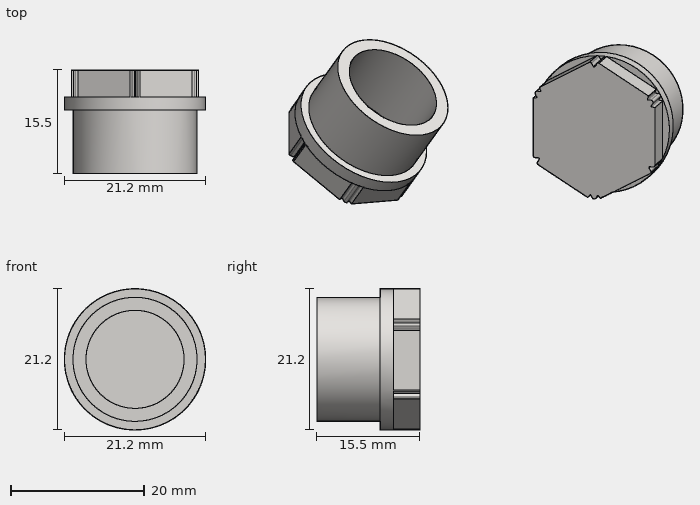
import cadquery as cq
import math

flange_radius = 10.6
tube_radius = 9.3
bore_radius = 7.35
tube_length = 9.5
flange_length = 2.0
head_length = 4.0
head_apothem = 9.55
bore_depth = tube_length + flange_length

corner_count = 6
corner_radius = head_apothem / math.cos(math.pi / corner_count)
corner_step = 360 / corner_count

flat_end_half = 1.0
valley_outer_half = 0.65
valley_inner_half = 0.53
valley_radius = 10.03
valley_sag = 0.032
tip_half = 0.28
tip_side_radius = 10.47
groove_floor_half = 0.1
groove_floor_radius = 9.99
groove_floor_sag = 0.05
groove_wall_half = 0.4
groove_wall_radius = 10.5
lip_half = 0.6
lip_mid_half = 0.477
lip_mid_radius = 10.565
cut_outer_radius = 11.65


def cylinder(radius, start, length):
    """Cylinder on the Y axis, running from start towards +Y."""
    return cq.Workplane("XZ", origin=(0, start, 0)).circle(radius).extrude(-length)


def ridge_corner_cutter():
    """Cuts a corner back to a round-tipped ridge between two valleys, at +Z."""
    flat_end_radius = corner_radius - flat_end_half * math.tan(math.pi / corner_count)
    valley_mid = (valley_outer_half + valley_inner_half) / 2
    valley_bottom = valley_radius - valley_sag
    return (
        cq.Workplane("XZ", origin=(0, bore_depth, 0))
        .moveTo(-flat_end_half, cut_outer_radius)
        .lineTo(-flat_end_half, flat_end_radius)
        .lineTo(-valley_outer_half, valley_radius)
        .threePointArc((-valley_mid, valley_bottom), (-valley_inner_half, valley_radius))
        .lineTo(-tip_half, tip_side_radius)
        .threePointArc((0, flange_radius), (tip_half, tip_side_radius))
        .lineTo(valley_inner_half, valley_radius)
        .threePointArc((valley_mid, valley_bottom), (valley_outer_half, valley_radius))
        .lineTo(flat_end_half, flat_end_radius)
        .lineTo(flat_end_half, cut_outer_radius)
        .close()
        .extrude(-head_length)
    )


def groove_corner_cutter():
    """Cuts a groove with rounded lips and a rounded floor into a corner, at +Z."""
    lip_radius = math.sqrt(flange_radius**2 - lip_half**2)
    return (
        cq.Workplane("XZ", origin=(0, bore_depth, 0))
        .moveTo(-lip_half, cut_outer_radius)
        .lineTo(-lip_half, lip_radius)
        .threePointArc((-lip_mid_half, lip_mid_radius), (-groove_wall_half, groove_wall_radius))
        .lineTo(-groove_floor_half, groove_floor_radius)
        .threePointArc((0, groove_floor_radius - groove_floor_sag), (groove_floor_half, groove_floor_radius))
        .lineTo(groove_wall_half, groove_wall_radius)
        .threePointArc((lip_mid_half, lip_mid_radius), (lip_half, lip_radius))
        .lineTo(lip_half, cut_outer_radius)
        .close()
        .extrude(-head_length)
    )


def hex_head():
    """Hexagon trimmed to the flange circle, with grooves and ridges on alternate corners."""
    head = (
        cq.Workplane("XZ", origin=(0, bore_depth, 0))
        .transformed(rotate=(0, 0, 90))
        .polygon(corner_count, 2 * corner_radius)
        .extrude(-head_length)
        .intersect(cylinder(flange_radius, bore_depth, head_length))
    )
    cutters = (groove_corner_cutter(), ridge_corner_cutter())
    for corner in range(corner_count):
        cutter = cutters[corner % len(cutters)]
        head = head.cut(cutter.rotate((0, 0, 0), (0, 1, 0), corner * corner_step))
    return head


tube = cylinder(tube_radius, 0, tube_length)
flange = cylinder(flange_radius, tube_length, flange_length)
bore = cylinder(bore_radius, 0, bore_depth)

result = tube.union(flange).union(hex_head()).cut(bore)